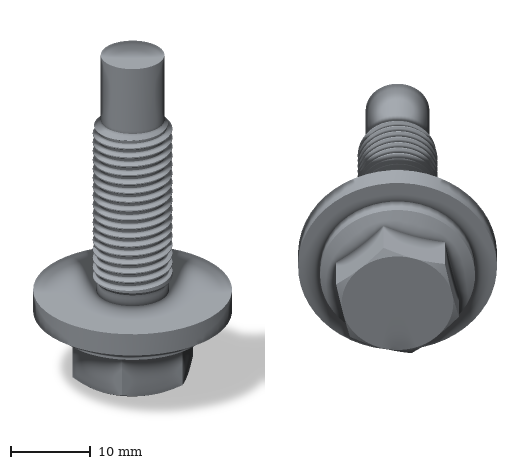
import cadquery as cq
import math

total_height = 44.5
hex_cone_bottom = 5.07
flange_bottom = 6.5
washer_bottom = 8.5
washer_top = 11.5
neck_top = 13.0
thread_bottom = 13.5
thread_top = 34.4

pilot_diameter = 8.0
neck_diameter = 9.15
thread_diameter = 10.0
root_diameter = 8.75
flange_diameter = 19.5
washer_diameter = 25.0
cone_small_diameter = 13.9

hex_across_flats = 14.0
hex_turn = -3.2
hex_chamfer_angle = 30.0

pitch = thread_diameter / 8
crest_width = 0.155
flank_angle = 30.0
groove_start_height = 13.9
groove_start_angle = 190.0
groove_end_angle = 235.0
whole_turns = 17
groove_overshoot = 0.05


def make_shank():
    """Turned bolt body above the hex: flange cone, flange, washer, neck, thread blank and pilot."""
    pilot_radius = pilot_diameter / 2
    thread_radius = thread_diameter / 2
    thread_chamfer = thread_radius - pilot_radius
    profile = [
        (0, hex_cone_bottom),
        (cone_small_diameter / 2, hex_cone_bottom),
        (flange_diameter / 2, flange_bottom),
        (flange_diameter / 2, washer_bottom),
        (washer_diameter / 2, washer_bottom),
        (washer_diameter / 2, washer_top),
        (neck_diameter / 2, washer_top),
        (neck_diameter / 2, neck_top),
        (thread_radius, thread_bottom),
        (thread_radius, thread_top),
        (pilot_radius, thread_top + thread_chamfer),
        (pilot_radius, total_height),
        (0, total_height),
    ]
    return cq.Workplane("XZ").polyline(profile).close().revolve(360, (0, 0), (0, 1))


def make_hex_head():
    """Hexagon whose lower corners are turned to a cone that meets the flats at the underside."""
    corner_diameter = hex_across_flats / math.cos(math.pi / 6)
    flat_radius = hex_across_flats / 2
    cone_rise = math.tan(math.radians(hex_chamfer_angle))
    cone_top_radius = flat_radius + flange_bottom / cone_rise
    hexagon = (
        cq.Workplane("XY")
        .polygon(6, corner_diameter)
        .extrude(flange_bottom)
        .rotate((0, 0, 0), (0, 0, 1), -90 + hex_turn)
    )
    chamfer_cone = (
        cq.Workplane("XZ")
        .polyline([(0, 0), (flat_radius, 0), (cone_top_radius, flange_bottom), (0, flange_bottom)])
        .close()
        .revolve(360, (0, 0), (0, 1))
    )
    return hexagon.intersect(chamfer_cone)


def make_thread_groove():
    """Right-hand V groove with a flat root, starting squarely and running out at the top chamfer."""
    turns = whole_turns + (groove_end_angle - groove_start_angle) / 360
    root_radius = root_diameter / 2
    crest_radius = thread_diameter / 2
    flank_slope = math.tan(math.radians(flank_angle))
    outer_half = (pitch - crest_width) / 2 + groove_overshoot * flank_slope
    outer_radius = crest_radius + groove_overshoot
    root_half = outer_half - (outer_radius - root_radius) * flank_slope
    section = [
        (root_radius, -root_half),
        (outer_radius, -outer_half),
        (outer_radius, outer_half),
        (root_radius, root_half),
    ]
    helices = [
        cq.Wire.makeHelix(pitch, turns * pitch, radius).translate(cq.Vector(0, 0, height))
        for radius, height in section
    ]
    next_helices = helices[1:] + helices[:1]
    walls = [cq.Face.makeRuledSurface(helix, other) for helix, other in zip(helices, next_helices)]
    end_faces = []
    for path_fraction in (0, 1):
        corners = [helix.positionAt(path_fraction) for helix in helices]
        end_faces.append(cq.Face.makeFromWires(cq.Wire.makePolygon(corners, close=True)))
    groove = cq.Solid.makeSolid(cq.Shell.makeShell(walls + end_faces)).fix()
    return (
        cq.Workplane(groove)
        .rotate((0, 0, 0), (0, 0, 1), groove_start_angle)
        .translate((0, 0, groove_start_height))
    )


bolt = make_shank().cut(make_thread_groove()).union(make_hex_head())
result = cq.Workplane(bolt.solids().val())